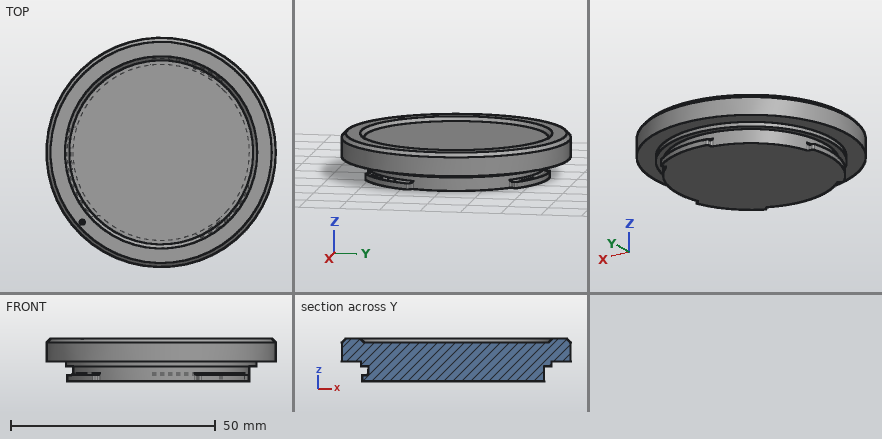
import cadquery as cq
import math

height = 10.5
rim_diameter = 56.0
rim_bottom = 4.85
rim_chamfer = 1.0

step_diameter = 46.6
step_bottom = 3.7
spigot_diameter = 43.0

recess_floor_diameter = 44.9
recess_depth = 1.0

mark_diameter = 1.25
mark_floor_diameter = 0.3
mark_depth = 0.35
mark_orbit = 25.7
mark_angle = 221.5

tab_spans = [(48.3, 96.7), (163.3, 225.2), (293.2, 340.2)]
tab_end_taper = 1.1
tab_radius = 22.95
tab_height = 1.54
tab_corner_radius = 0.5
tab_root_fillet = 0.475

spigot_radius = spigot_diameter / 2
edge_tolerance = 0.005


def disc(diameter, bottom, top):
    return cq.Workplane("XY").workplane(offset=bottom).circle(diameter / 2).extrude(top - bottom)


def polar(radius, angle):
    """Point in the XY plane at an angle given in degrees."""
    return radius * math.cos(math.radians(angle)), radius * math.sin(math.radians(angle))


def tab(start, end):
    """Ring sector with tapered ends, rounded outer corners and a root inside the spigot."""
    middle = (start + end) / 2
    root_radius = 2 * spigot_radius - tab_radius
    sector = (
        cq.Workplane("XY")
        .moveTo(*polar(root_radius, start - tab_end_taper))
        .lineTo(*polar(tab_radius, start + tab_end_taper))
        .threePointArc(polar(tab_radius, middle), polar(tab_radius, end - tab_end_taper))
        .lineTo(*polar(root_radius, end + tab_end_taper))
        .threePointArc(polar(root_radius, middle), polar(root_radius, start - tab_end_taper))
        .close()
        .extrude(tab_height)
    )
    corners = [
        edge for edge in sector.edges("|Z").vals()
        if math.hypot(edge.Center().x, edge.Center().y) > spigot_radius
    ]
    return sector.newObject(corners).fillet(tab_corner_radius)


def is_tab_root(edge):
    """True for the edges where a tab meets the spigot wall."""
    middle = edge.positionAt(0.5)
    on_wall = abs(math.hypot(middle.x, middle.y) - spigot_radius) < edge_tolerance
    return on_wall and edge_tolerance < middle.z < tab_height + edge_tolerance


def recess():
    """Cone frustum opening upward at 45 degrees."""
    return (
        cq.Workplane("XY")
        .workplane(offset=height)
        .circle(recess_floor_diameter / 2 + recess_depth)
        .workplane(offset=-recess_depth)
        .circle(recess_floor_diameter / 2)
        .loft()
    )


def index_mark():
    cone = cq.Solid.makeCone(
        mark_diameter / 2, mark_floor_diameter / 2, mark_depth,
        pnt=cq.Vector(*polar(mark_orbit, mark_angle), height),
        dir=cq.Vector(0, 0, -1),
    )
    return cq.Workplane("XY").add(cone)


spigot = disc(spigot_diameter, 0, step_bottom)
for start_angle, end_angle in tab_spans:
    spigot = spigot.union(tab(start_angle, end_angle))
root_edges = [edge for edge in spigot.edges().vals() if is_tab_root(edge)]
spigot = spigot.newObject(root_edges).fillet(tab_root_fillet)

rim = disc(rim_diameter, rim_bottom, height).faces(">Z").chamfer(rim_chamfer)
step = disc(step_diameter, step_bottom, rim_bottom)

result = rim.union(step).union(spigot).cut(recess()).cut(index_mark())